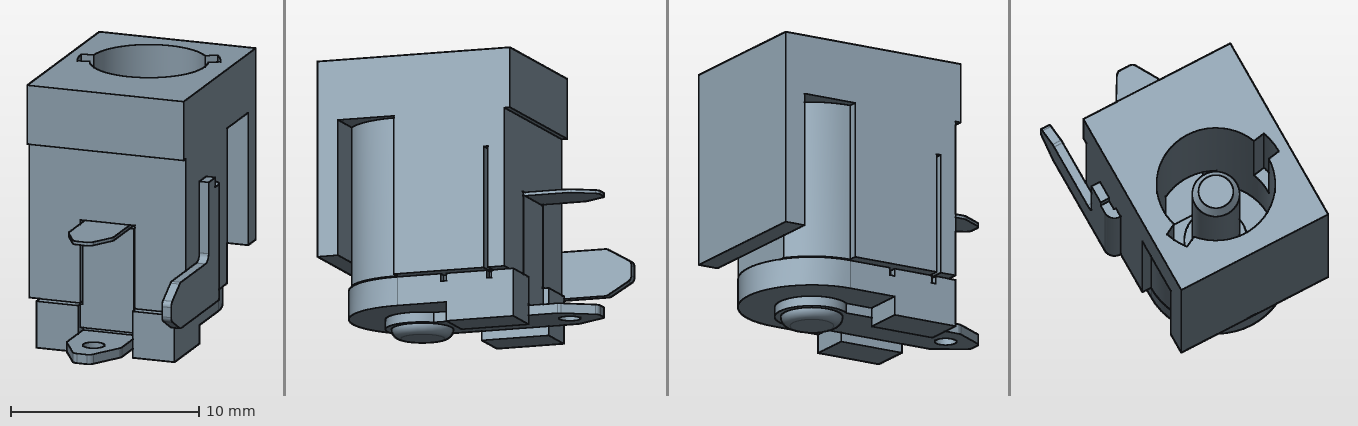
import cadquery as cq
import math


HOUSING_WIDTH = 8.89
HOUSING_TOP = 14.48
HOUSING_BOTTOM = 2.64
BACK_Y = 4.33
HEAD_FRONT_Y = -6.57
BODY_FRONT_Y = -6.25
HEAD_BOTTOM = 11.22
BACK_WALL_INNER_Y = 3.15
BACK_WALL_BOTTOM = 3.88

BORE_RADIUS = 3.15
BORE_FLOOR = 4.84
WELL_BACK_Y = -1.88
KEY_WIDTH = 1.27
KEY_RADIUS = 3.82
KEY_FLOOR = 8.69
KEY_ANGLES = (28.2, 190.0)

BASE_RADIUS = 3.92
BASE_TOP = 2.58
SLAB_BOTTOM = 1.03
FOOT_BACK_Y = -2.78
CHANNEL_WIDTH = 3.1
RELIEF_TOP = 1.29
RELIEF_DEPTH = 0.43
TONGUE_WIDTH = 2.9
TONGUE_SHIFT = 0.03
TONGUE_BACK_Y = -5.33
NOTCH_LENGTH = 0.3
NOTCH_DEPTH = 0.43
SIDE_SLOT_DEPTH = 0.9
SIDE_SLOT_BACK_Y = -5.08
SIDE_SLOT_TOP = 9.21
SIDE_SLOT_BOTTOM = 2.17

PIN_RADIUS = 1.26
PIN_TIP_RADIUS = 0.93
PIN_TIP_DEPTH = 1.25
PIN_TIP_LENGTH = 0.42
COLLAR_RADIUS = 1.68
COLLAR_TOP = 5.14
RIVET_RADIUS = 1.65

TIP_Y = -10.15
TIP_WIDTH = 0.95
TAIL_ROUNDING = 0.35
TAPER = math.radians(30)

RING_RADIUS = 1.97
RING_THICKNESS = 0.54
SOLDER_HOLE_Y = -8.34
SOLDER_HOLE_DIAMETER = 1.17

SPRING_WIDTH = 2.55
SPRING_THICKNESS = 0.19
SPRING_TOP = 7.24

SWITCH_THICKNESS = 0.52
SWITCH_OUTER_X = 5.08
SWITCH_BACK_Y = -2.43
SWITCH_BEND_RADIUS = 0.6
SWITCH_ROOT_TOP = 8.98
SWITCH_ROOT_DEPTH = 0.5
SWITCH_ARM_TOP = 9.51
SWITCH_ARM_BACK_Y = -3.48
SWITCH_ARM_FRONT_Y = -4.5
SWITCH_ARM_ROUNDING = 0.45
SWITCH_TAIL_TOP = 5.13
SWITCH_TAIL_WIDTH = 2.55

HALF_WIDTH = HOUSING_WIDTH / 2
RING_BOTTOM = SLAB_BOTTOM - RING_THICKNESS
TONGUE_TOP = SPRING_TOP - SPRING_THICKNESS
SWITCH_BOTTOM = SWITCH_TAIL_TOP - SWITCH_TAIL_WIDTH
SWITCH_INNER_X = SWITCH_OUTER_X - SWITCH_THICKNESS
SWITCH_ROOT_X = HALF_WIDTH - SWITCH_ROOT_DEPTH
SWITCH_ROOT_FRONT_Y = SWITCH_BACK_Y - SWITCH_THICKNESS


def box(x0, x1, y0, y1, z0, z1):
    """Block between two opposite corners."""
    return cq.Workplane("XY").box(x1 - x0, y1 - y0, z1 - z0, centered=False).translate((x0, y0, z0))


def cylinder(radius, z0, z1):
    """Cylinder on the bore axis."""
    return cq.Workplane("XY").workplane(offset=z0).circle(radius).extrude(z1 - z0)


def taper_start(width):
    """Y at which a tail of this width starts to narrow towards its tip."""
    return TIP_Y + (width - TIP_WIDTH) / 2 / math.tan(TAPER)


def flat_tail(width, root_y, z0, thickness):
    """Horizontal tail with a tapered tip and rounded corners."""
    half, half_tip, start_y = width / 2, TIP_WIDTH / 2, taper_start(width)
    outline = [
        (-half, root_y), (-half, start_y), (-half_tip, TIP_Y),
        (half_tip, TIP_Y), (half, start_y), (half, root_y),
    ]
    tail = cq.Workplane("XY").workplane(offset=z0).polyline(outline).close().extrude(thickness)
    return tail.edges("|Z and (not >Y)").fillet(TAIL_ROUNDING)


def side_slot():
    """Thin upright slot in the -X side, running through housing and base."""
    return box(
        -HALF_WIDTH, SIDE_SLOT_DEPTH - HALF_WIDTH,
        TONGUE_BACK_Y, SIDE_SLOT_BACK_Y, SIDE_SLOT_BOTTOM, SIDE_SLOT_TOP,
    )


def bore():
    """Round bore with two key slots; the front part of its floor drops through as a well."""
    cut = cylinder(BORE_RADIUS, BORE_FLOOR, HOUSING_TOP)
    well = cylinder(BORE_RADIUS, HOUSING_BOTTOM, HOUSING_TOP).intersect(
        box(-BORE_RADIUS, BORE_RADIUS, -BORE_RADIUS, WELL_BACK_Y, HOUSING_BOTTOM, HOUSING_TOP)
    )
    cut = cut.union(well)
    for angle in KEY_ANGLES:
        key = box(0, KEY_RADIUS + KEY_WIDTH, -KEY_WIDTH / 2, KEY_WIDTH / 2, KEY_FLOOR, HOUSING_TOP)
        key = key.rotate((0, 0, 0), (0, 0, 1), angle)
        cut = cut.union(key.intersect(cylinder(KEY_RADIUS, KEY_FLOOR, HOUSING_TOP)))
    return cut


def make_housing():
    head = box(-HALF_WIDTH, HALF_WIDTH, HEAD_FRONT_Y, BACK_Y, HEAD_BOTTOM, HOUSING_TOP)
    front_block = box(-HALF_WIDTH, HALF_WIDTH, BODY_FRONT_Y, 0, HOUSING_BOTTOM, HEAD_BOTTOM)
    back_wall = box(-HALF_WIDTH, HALF_WIDTH, BACK_WALL_INNER_Y, BACK_Y, BACK_WALL_BOTTOM, HEAD_BOTTOM)
    barrel = cylinder(BASE_RADIUS, HOUSING_BOTTOM, HEAD_BOTTOM).intersect(
        box(-HALF_WIDTH, HALF_WIDTH, -BASE_RADIUS, BACK_WALL_INNER_Y, HOUSING_BOTTOM, HEAD_BOTTOM)
    )
    housing = head.union(front_block).union(back_wall).union(barrel)

    collar_hole = cylinder(COLLAR_RADIUS, HOUSING_BOTTOM, BORE_FLOOR)
    front_slot = box(
        -CHANNEL_WIDTH / 2, CHANNEL_WIDTH / 2, BODY_FRONT_Y, WELL_BACK_Y, HOUSING_BOTTOM, SPRING_TOP
    )
    switch_pocket = box(
        SWITCH_ROOT_X, HALF_WIDTH, SWITCH_ROOT_FRONT_Y, SWITCH_BACK_Y, HOUSING_BOTTOM, SWITCH_ROOT_TOP
    )
    for cut in (bore(), collar_hole, front_slot, switch_pocket, side_slot()):
        housing = housing.cut(cut)
    return housing


def make_base():
    slab = cylinder(BASE_RADIUS, SLAB_BOTTOM, BASE_TOP).union(
        box(-BASE_RADIUS, BASE_RADIUS, BODY_FRONT_Y, 0, SLAB_BOTTOM, BASE_TOP)
    )
    feet = box(-BASE_RADIUS, BASE_RADIUS, HEAD_FRONT_Y, FOOT_BACK_Y, 0, BASE_TOP)
    half_channel = CHANNEL_WIDTH / 2
    channel = box(-half_channel, half_channel, HEAD_FRONT_Y, FOOT_BACK_Y, 0, SLAB_BOTTOM)
    front_recess = box(-half_channel, half_channel, HEAD_FRONT_Y, BODY_FRONT_Y, 0, BASE_TOP)
    relief = box(
        -half_channel, half_channel, BODY_FRONT_Y, BODY_FRONT_Y + RELIEF_DEPTH, SLAB_BOTTOM, RELIEF_TOP
    )
    tongue = box(
        TONGUE_SHIFT - TONGUE_WIDTH / 2, TONGUE_SHIFT + TONGUE_WIDTH / 2,
        BODY_FRONT_Y, TONGUE_BACK_Y, RELIEF_TOP, TONGUE_TOP,
    )
    notch = box(
        -BASE_RADIUS, NOTCH_DEPTH - BASE_RADIUS,
        FOOT_BACK_Y, FOOT_BACK_Y + NOTCH_LENGTH, SIDE_SLOT_BOTTOM, BASE_TOP,
    )
    base = slab.union(feet).union(tongue)
    pin_hole = cylinder(PIN_RADIUS, SLAB_BOTTOM, BASE_TOP)
    for cut in (channel, front_recess, relief, notch, side_slot(), pin_hole):
        base = base.cut(cut)
    return base


def make_pin():
    tip_z = HOUSING_TOP - PIN_TIP_DEPTH
    flat_radius = RIVET_RADIUS - RING_BOTTOM
    diagonal = RING_BOTTOM * math.sqrt(0.5)
    head = (
        cq.Workplane("XZ")
        .lineTo(flat_radius, 0)
        .threePointArc((flat_radius + diagonal, RING_BOTTOM - diagonal), (RIVET_RADIUS, RING_BOTTOM))
        .lineTo(0, RING_BOTTOM)
        .close().revolve(360, (0, 0), (0, 1))
    )
    collar = cylinder(COLLAR_RADIUS, BASE_TOP, COLLAR_TOP)
    shank = cylinder(PIN_RADIUS, RING_BOTTOM, tip_z).faces(">Z").chamfer(
        PIN_TIP_LENGTH, PIN_RADIUS - PIN_TIP_RADIUS
    )
    return shank.union(collar).union(head)


def make_ring_terminal():
    ring = cylinder(RING_RADIUS, RING_BOTTOM, SLAB_BOTTOM)
    tail = flat_tail(CHANNEL_WIDTH, 0, RING_BOTTOM, RING_THICKNESS)
    solder_hole = cylinder(SOLDER_HOLE_DIAMETER / 2, RING_BOTTOM, SLAB_BOTTOM)
    pin_hole = cylinder(PIN_RADIUS, RING_BOTTOM, SLAB_BOTTOM)
    return ring.union(tail).cut(solder_hole.translate((0, SOLDER_HOLE_Y, 0))).cut(pin_hole)


def make_spring_terminal():
    tail = flat_tail(SPRING_WIDTH, SIDE_SLOT_BACK_Y, TONGUE_TOP, SPRING_THICKNESS)
    leg = box(
        -SPRING_WIDTH / 2, SPRING_WIDTH / 2,
        SIDE_SLOT_BACK_Y - SPRING_THICKNESS, SIDE_SLOT_BACK_Y, BASE_TOP, SPRING_TOP,
    )
    return tail.union(leg)


def make_switch_terminal():
    bend_end_y = SWITCH_BACK_Y - SWITCH_BEND_RADIUS
    bend_start_x = SWITCH_OUTER_X - SWITCH_BEND_RADIUS
    diagonal = SWITCH_BEND_RADIUS * math.sqrt(0.5)
    root = (
        cq.Workplane("XY").workplane(offset=SWITCH_BOTTOM)
        .moveTo(SWITCH_ROOT_X, SWITCH_BACK_Y)
        .lineTo(bend_start_x, SWITCH_BACK_Y)
        .threePointArc((bend_start_x + diagonal, bend_end_y + diagonal), (SWITCH_OUTER_X, bend_end_y))
        .lineTo(SWITCH_INNER_X, bend_end_y)
        .lineTo(SWITCH_INNER_X, SWITCH_ROOT_FRONT_Y)
        .lineTo(SWITCH_ROOT_X, SWITCH_ROOT_FRONT_Y)
        .close().extrude(SWITCH_ROOT_TOP - SWITCH_BOTTOM)
    )
    outline = [
        (bend_end_y, SWITCH_BOTTOM), (bend_end_y, SWITCH_ROOT_TOP),
        (SWITCH_ARM_BACK_Y, SWITCH_ROOT_TOP), (SWITCH_ARM_BACK_Y, SWITCH_ARM_TOP),
        (SWITCH_ARM_FRONT_Y, SWITCH_ARM_TOP), (SWITCH_ARM_FRONT_Y, SWITCH_BOTTOM),
    ]
    plate = (
        cq.Workplane("YZ").workplane(offset=SWITCH_INNER_X)
        .polyline(outline).close().extrude(SWITCH_THICKNESS)
    )
    tail = flat_tail(SWITCH_TAIL_WIDTH, SWITCH_ARM_FRONT_Y, 0, SWITCH_THICKNESS)
    tail = tail.rotate((0, 0, 0), (0, 1, 0), 90)
    plate = plate.union(tail.translate((SWITCH_INNER_X, 0, SWITCH_BOTTOM + SWITCH_TAIL_WIDTH / 2)))
    middle_x = SWITCH_INNER_X + SWITCH_THICKNESS / 2
    arm_corner = cq.selectors.NearestToPointSelector((middle_x, SWITCH_ARM_FRONT_Y, SWITCH_TAIL_TOP))
    plate = plate.edges("|X").edges(arm_corner).fillet(SWITCH_ARM_ROUNDING)
    return root.union(plate)


housing = make_housing()
base = make_base()
pin = make_pin()
ring_terminal = make_ring_terminal()
spring_terminal = make_spring_terminal()
switch_terminal = make_switch_terminal()

result = cq.Compound.makeCompound([
    housing.val(), base.val(), pin.val(),
    ring_terminal.val(), spring_terminal.val(), switch_terminal.val(),
])